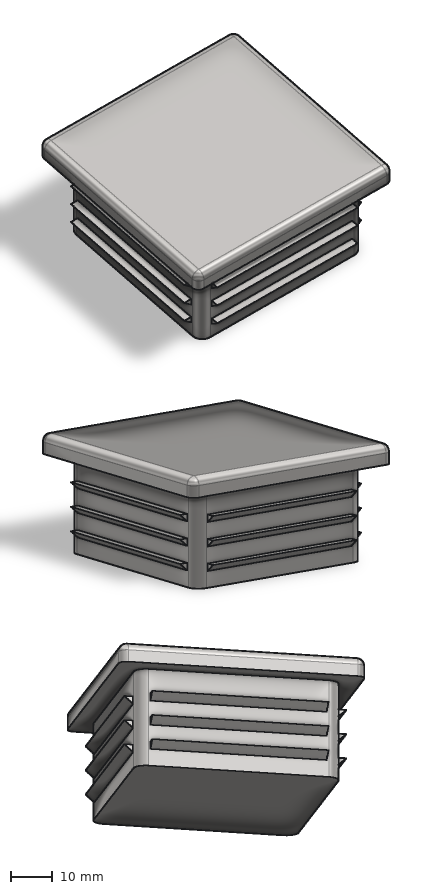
import cadquery as cq

cap_width = 60.0
cap_thickness = 5.0
cap_edge_radius = 2.0

plug_width = 50.0
plug_height = 24.0
plug_corner_radius = 3.0

fin_count = 3
fin_pitch = plug_height / (fin_count + 1)
fin_length = 43.0
fin_reach = 2.1
fin_drop = 1.85


def make_cap():
    """Square plate with rounded corners and a rounded top rim."""
    cap = cq.Workplane("XY").workplane(offset=plug_height)
    cap = cap.rect(cap_width, cap_width).extrude(cap_thickness)
    return cap.edges("|Z or >Z").fillet(cap_edge_radius)


def make_plug():
    """Square block with rounded vertical corners."""
    plug = cq.Workplane("XY").rect(plug_width, plug_width).extrude(plug_height)
    return plug.edges("|Z").fillet(plug_corner_radius)


def make_fin(top_z):
    """Triangular fin along Y on the +X side of the plug."""
    wall_x = plug_width / 2
    profile = [
        (wall_x, top_z),
        (wall_x + fin_reach, top_z),
        (wall_x, top_z - fin_drop),
    ]
    return cq.Workplane("XZ").polyline(profile).close().extrude(fin_length / 2, both=True)


result = make_cap().union(make_plug())
for level in range(1, fin_count + 1):
    fin = make_fin(level * fin_pitch)
    for side_angle in (0, 90, 180, 270):
        result = result.union(fin.rotate((0, 0, 0), (0, 0, 1), side_angle))